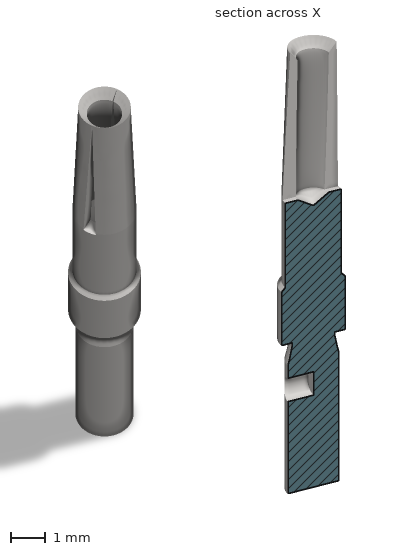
import cadquery as cq
import math

TOTAL_LENGTH = 14.4
BARREL_TOP = 4.2
NECK_CONE_TOP = 4.78
COLLAR_BOTTOM = 4.9
COLLAR_TOP = 6.78
SLEEVE_TOP = 9.6

BARREL_RADIUS = 0.84
NECK_RADIUS = 0.71
COLLAR_RADIUS = 1.05
COLLAR_CHAMFER = 0.125
SLEEVE_RADIUS = COLLAR_RADIUS - COLLAR_CHAMFER
TIP_RADIUS = 0.76

SOCKET_RADIUS = 0.51
LEAD_IN_DEPTH = 0.3
DRILL_POINT_ANGLE = 118.0

SLOT_FLOOR = 9.54
SLOT_FLOOR_WIDTH = 0.4
SLOT_TIP_WIDTH = 0.01

SOCKET_FLOOR = SLOT_FLOOR

INSPECTION_DIAMETER = 0.75
INSPECTION_HEIGHT = 3.4


def make_body():
    """Turned outside: barrel, necked cone, chamfered collar, sleeve and tapered tip."""
    profile = [
        (0, 0),
        (BARREL_RADIUS, 0),
        (BARREL_RADIUS, BARREL_TOP),
        (NECK_RADIUS, NECK_CONE_TOP),
        (NECK_RADIUS, COLLAR_BOTTOM),
        (COLLAR_RADIUS, COLLAR_BOTTOM),
        (COLLAR_RADIUS, COLLAR_TOP - COLLAR_CHAMFER),
        (SLEEVE_RADIUS, COLLAR_TOP),
        (SLEEVE_RADIUS, SLEEVE_TOP),
        (TIP_RADIUS, TOTAL_LENGTH),
        (0, TOTAL_LENGTH),
    ]
    return cq.Workplane("XZ").polyline(profile).close().revolve(360, (0, 0, 0), (0, 1, 0))


def make_socket():
    """Blind bore with a conical lead-in that meets the tip in a sharp rim, ending in a drill point."""
    point_depth = SOCKET_RADIUS / math.tan(math.radians(DRILL_POINT_ANGLE / 2))
    profile = [
        (0, SOCKET_FLOOR - point_depth),
        (SOCKET_RADIUS, SOCKET_FLOOR),
        (SOCKET_RADIUS, TOTAL_LENGTH - LEAD_IN_DEPTH),
        (TIP_RADIUS, TOTAL_LENGTH),
        (0, TOTAL_LENGTH),
    ]
    return cq.Workplane("XZ").polyline(profile).close().revolve(360, (0, 0, 0), (0, 1, 0))


def make_slot():
    """Slot along Y that narrows from its floor to the tip."""
    profile = [
        (-SLOT_FLOOR_WIDTH / 2, SLOT_FLOOR),
        (SLOT_FLOOR_WIDTH / 2, SLOT_FLOOR),
        (SLOT_TIP_WIDTH / 2, TOTAL_LENGTH),
        (-SLOT_TIP_WIDTH / 2, TOTAL_LENGTH),
    ]
    return cq.Workplane("XZ").polyline(profile).close().extrude(COLLAR_RADIUS, both=True)


def make_inspection_hole():
    """Radial hole from the axis out through the +Y side."""
    return (
        cq.Workplane("XZ")
        .center(0, INSPECTION_HEIGHT)
        .circle(INSPECTION_DIAMETER / 2)
        .extrude(-COLLAR_RADIUS)
    )


result = make_body().cut(make_socket()).cut(make_slot()).cut(make_inspection_hole())